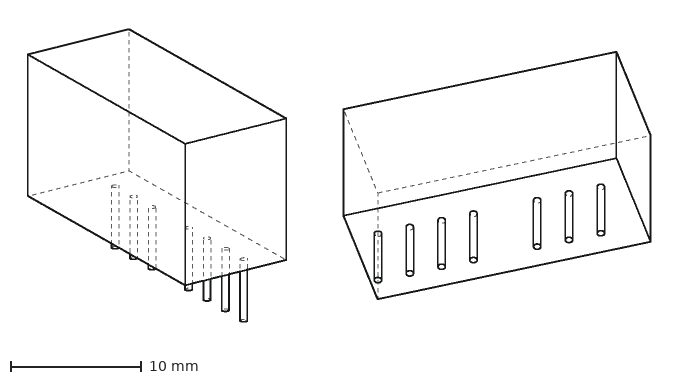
import cadquery as cq

housing_length = 21.8
housing_depth = 9.3
housing_height = 11.7

pin_diameter = 0.57
pin_length = 5.1
pin_row_span = 17.79
pin_positions = 8
empty_position = 3
pin_row_from_back = 2.6

pin_row_y = housing_depth / 2 - pin_row_from_back
pin_pitch = pin_row_span / (pin_positions - 1)
first_pin_x = -pin_row_span / 2


def make_housing():
    """Plain block standing on the plane Z = 0."""
    return cq.Workplane("XY").box(
        housing_length, housing_depth, housing_height, centered=(True, True, False)
    )


def make_pin(x):
    """Round pin hanging from the underside of the housing."""
    return (
        cq.Workplane("XY")
        .center(x, pin_row_y)
        .circle(pin_diameter / 2)
        .extrude(-pin_length)
    )


housing = make_housing()
pins = [
    make_pin(first_pin_x + position * pin_pitch)
    for position in range(pin_positions)
    if position != empty_position
]

result = cq.Compound.makeCompound([housing.val(), *[pin.val() for pin in pins]])